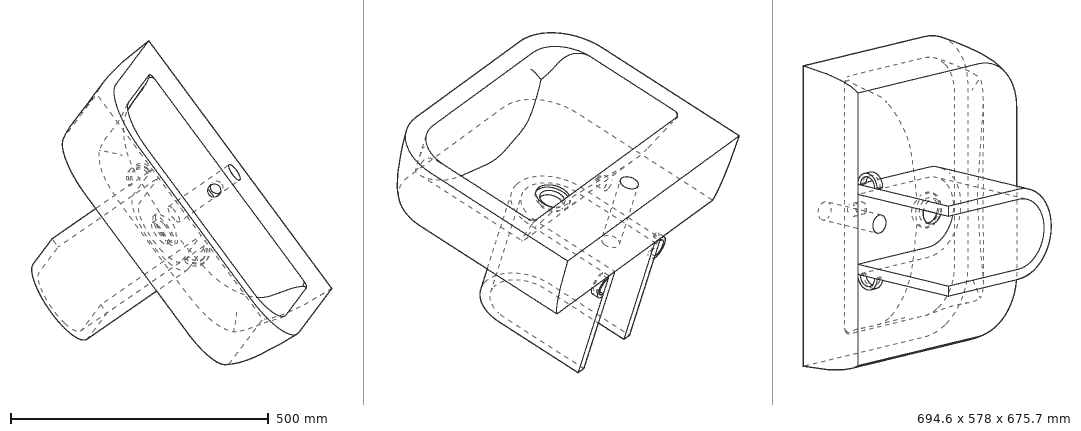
import cadquery as cq
import math


WIDTH = 600.0
DEPTH = 451.5
HEIGHT = 150.0
CORNER_RADIUS = 118.0
BASE_CORNER_RADIUS = 104.0
BELLY_LEVEL = 95.0
BELLY_SIDE_INSET = 9.0
BELLY_FRONT_INSET = 4.0
BASE_SIDE_INSET = 28.0
BASE_FRONT_INSET = 16.0

BOWL_SIDE_MARGIN = 42.5
BOWL_FRONT_MARGIN = 37.0
BOWL_BACK = 114.0
BOWL_FRONT_RADIUS = 83.5
BOWL_BACK_RADIUS = 14.0
BOWL_DEPTH = 133.5
BOWL_HALF_WIDTH = WIDTH / 2 - BOWL_SIDE_MARGIN
BOWL_FRONT = DEPTH - BOWL_FRONT_MARGIN

TAP_DIAMETER = 36.0
TAP_SETBACK = 59.0
OVERFLOW_DIAMETER = 25.0
OVERFLOW_DROP = 34.0
OVERFLOW_LENGTH = 28.0
DRAIN_SETBACK = 204.0
DRAIN_DIAMETER = 50.0
DRAIN_RECESS_DIAMETER = 69.5
DRAIN_RECESS_DEPTH = 5.5

PEDESTAL_WIDTH = 180.0
PEDESTAL_WALL = 20.0
PEDESTAL_HEIGHT = 248.0
PEDESTAL_STRAIGHT = 192.5

BRACKET_RADIUS = 26.5
BRACKET_WALL = 7.0
BRACKET_LENGTH = 15.0

TILT = cq.Plane(
    origin=(0, 0, 0),
    xDir=(1 / math.sqrt(2), 1 / math.sqrt(6), -1 / math.sqrt(3)),
    normal=(0, math.sqrt(2 / 3), 1 / math.sqrt(3)),
)


def basin_outline(work, side_inset=0, front_inset=0, radius=CORNER_RADIUS):
    """Straight back and rounded front corners, inset from the rim outline."""
    half = WIDTH / 2 - side_inset
    front = -DEPTH + front_inset
    bend = radius * (1 - math.sqrt(0.5))
    return (
        work.moveTo(-half, 0)
        .lineTo(-half, front + radius)
        .threePointArc((-half + bend, front + bend), (-half + radius, front))
        .lineTo(half - radius, front)
        .threePointArc((half - bend, front + bend), (half, front + radius))
        .lineTo(half, 0)
        .close()
    )


def make_shell():
    """Outer block whose walls leave the rim upright and curve in to the base."""
    shell = basin_outline(cq.Workplane())
    shell = basin_outline(shell.workplane(offset=-BELLY_LEVEL), BELLY_SIDE_INSET, BELLY_FRONT_INSET)
    shell = basin_outline(
        shell.workplane(offset=BELLY_LEVEL - HEIGHT), BASE_SIDE_INSET, BASE_FRONT_INSET, BASE_CORNER_RADIUS
    )
    return shell.loft(combine=True)


def make_bowl():
    """Bowl cavity: plan outline, fore-and-aft section and cross section intersected."""
    plan = (
        cq.Workplane()
        .center(0, -(BOWL_BACK + BOWL_FRONT) / 2)
        .rect(2 * BOWL_HALF_WIDTH, BOWL_FRONT - BOWL_BACK)
        .extrude(-HEIGHT)
    )
    plan = plan.edges("|Z and <Y").fillet(BOWL_FRONT_RADIUS)
    plan = plan.edges("|Z and >Y").fillet(BOWL_BACK_RADIUS)

    back_wall = [(-126.0, -35), (-139, -76.5), (-155.5, -115.0), (-177.0, -132), (-278, -142.5)]
    front_wall = [(-375, -118), (-408.0, -69.5), (-BOWL_FRONT, 0)]
    lengthwise = (
        cq.Workplane("YZ", origin=(-BOWL_HALF_WIDTH, 0, 0))
        .moveTo(-BOWL_BACK, 0)
        .spline(back_wall + front_wall, includeCurrent=True)
        .close()
        .extrude(2 * BOWL_HALF_WIDTH)
    )

    right_wall = [(239.5, -35), (225.0, -76.5), (166.0, -118), (83.5, -130.0), (0, -BOWL_DEPTH)]
    left_wall = [(-x, z) for x, z in reversed(right_wall[:-1])] + [(-BOWL_HALF_WIDTH, 0)]
    crosswise = (
        cq.Workplane("XZ")
        .moveTo(BOWL_HALF_WIDTH, 0)
        .spline(right_wall + left_wall, includeCurrent=True)
        .close()
        .extrude(DEPTH)
    )
    return plan.intersect(lengthwise).intersect(crosswise)


def upright_hole(diameter, setback, top, bottom):
    return (
        cq.Workplane()
        .workplane(offset=bottom)
        .center(0, -setback)
        .circle(diameter / 2)
        .extrude(top - bottom)
    )


def make_basin():
    tap_hole = upright_hole(TAP_DIAMETER, TAP_SETBACK, 0, -HEIGHT)
    drain = upright_hole(DRAIN_DIAMETER, DRAIN_SETBACK, -BOWL_DEPTH / 2, -HEIGHT)
    recess_floor = -BOWL_DEPTH - DRAIN_RECESS_DEPTH
    recess = upright_hole(DRAIN_RECESS_DIAMETER, DRAIN_SETBACK, -BOWL_DEPTH / 2, recess_floor)
    overflow = (
        cq.Workplane("XZ", origin=(0, -BOWL_BACK + OVERFLOW_LENGTH / 2, -OVERFLOW_DROP))
        .circle(OVERFLOW_DIAMETER / 2)
        .extrude(OVERFLOW_LENGTH)
    )
    basin = make_shell().cut(make_bowl())
    for hole in (tap_hole, drain, recess, overflow):
        basin = basin.cut(hole)
    return basin


def u_prism(radius):
    """U-shaped column of the given half width, open side on the back plane."""
    return (
        cq.Workplane()
        .workplane(offset=-HEIGHT)
        .moveTo(-radius, 0)
        .lineTo(-radius, -PEDESTAL_STRAIGHT)
        .threePointArc((0, -PEDESTAL_STRAIGHT - radius), (radius, -PEDESTAL_STRAIGHT))
        .lineTo(radius, 0)
        .close()
        .extrude(-PEDESTAL_HEIGHT)
    )


def make_pedestal():
    outer_radius = PEDESTAL_WIDTH / 2
    return u_prism(outer_radius).cut(u_prism(outer_radius - PEDESTAL_WALL))


def make_bracket(side):
    """Half ring on the outside of one pedestal leg; side is -1 (left) or 1 (right)."""
    ring = (
        cq.Workplane("XZ", origin=(side * PEDESTAL_WIDTH / 2, 0, -HEIGHT - BRACKET_RADIUS))
        .circle(BRACKET_RADIUS)
        .circle(BRACKET_RADIUS - BRACKET_WALL)
        .extrude(BRACKET_LENGTH)
    )
    outside = cq.Workplane("XZ", origin=ring.plane.origin).center(side * BRACKET_RADIUS, 0)
    outside = outside.rect(2 * BRACKET_RADIUS, 2 * BRACKET_RADIUS).extrude(BRACKET_LENGTH)
    return ring.intersect(outside)


basin = make_basin()
pedestal = make_pedestal()
brackets = [make_bracket(side) for side in (-1, 1)]

upright_bodies = [body.solids().val() for body in (basin, pedestal, *brackets)]
result = cq.Compound.makeCompound([body.moved(cq.Location(TILT)) for body in upright_bodies])